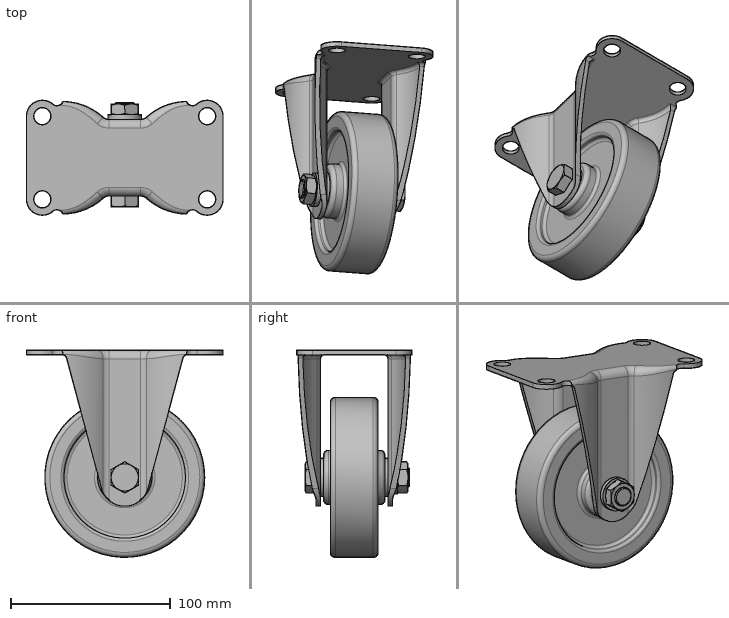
import cadquery as cq
import math


wheel_radius = 50.0
wheel_width = 30.0
tread_fillet = 3.1
rim_inner_radius = 39.9
rim_fillet = 2.0
recess_depth = 5.2
hub_radius = 17.0
hub_length = 38.4
hub_fillet = 3.0
hub_base_fillet = 2.0
boss_radius = 12.0

sheet = 3.0
total_height = 129.6
plate_length = 123.0
plate_width = 72.0
corner_radius = 10.0
mount_hole_diameter = 10.5
notch_radius = 4.0
notch_angle = math.radians(49.5)
leg_gap = 42.0
leg_flat_half = 10.0
leg_end_radius = 15.0
leg_drop = 18.0
leg_top_half = 36.3
flare_crest = 35.3
flare_center_x = 39.3
flare_root_radius = 5.3
bend_radius = 5.5
bend_end_radius = 2.6
bend_inner_radius = 2.5
leg_corner_fillet = 2.6

bolt_radius = 6.0
bolt_end_chamfer = 0.6
hex_flats = 17.0
head_height = 6.7
nut_height = 6.6
washer_radius = 10.5
washer_thickness = 3.0
bolt_end_length = 1.0
hex_chamfer_angle = math.radians(30)
hex_half_sector = 30

plate_top = total_height - wheel_radius
plate_bottom = plate_top - sheet
hole_x = plate_length / 2 - corner_radius
hole_y = plate_width / 2 - corner_radius
leg_outer_y = leg_gap / 2 + sheet
notch_x = hole_x - (corner_radius + notch_radius) * math.cos(notch_angle)
notch_y = hole_y + (corner_radius + notch_radius) * math.sin(notch_angle)
pad_edge_y = flare_crest - bend_end_radius
pad_edge_x = notch_x - math.sqrt(notch_radius**2 - (notch_y - pad_edge_y) ** 2)


def cylinder_y(radius, y_start, y_end):
    """Cylinder on the wheel axis between two Y positions."""
    return cq.Workplane("XZ", origin=(0, y_start, 0)).circle(radius).extrude(y_start - y_end)


def half_channel(inset, end_x, top):
    """Sharp-edged block from Y = 0 to one leg surface, which is moved inward by inset."""
    flat_y = leg_outer_y - inset
    crest_y = flare_crest - inset
    root_radius = flare_root_radius + inset
    run = flare_center_x - leg_flat_half
    rise = crest_y - flat_y
    radius_sum = (run**2 + rise**2) / (2 * rise)
    wing_radius = radius_sum - root_radius
    angle = math.asin(run / radius_sum)

    def root_point(turn, side):
        x = leg_flat_half + root_radius * math.sin(turn)
        return side * x, flat_y + root_radius * (1 - math.cos(turn))

    def wing_point(turn, side):
        x = flare_center_x - wing_radius * math.sin(turn)
        return side * x, crest_y - wing_radius * (1 - math.cos(turn))

    return (
        cq.Workplane("XY", origin=(0, 0, -wheel_radius))
        .moveTo(-end_x, 0)
        .lineTo(-end_x, crest_y)
        .lineTo(-flare_center_x, crest_y)
        .threePointArc(wing_point(angle / 2, -1), root_point(angle, -1))
        .threePointArc(root_point(angle / 2, -1), root_point(0, -1))
        .lineTo(*root_point(0, 1))
        .threePointArc(root_point(angle / 2, 1), root_point(angle, 1))
        .threePointArc(wing_point(angle / 2, 1), wing_point(0, 1))
        .lineTo(end_x, crest_y)
        .lineTo(end_x, 0)
        .close()
        .extrude(top + wheel_radius)
    )


def flat_top_edge(block):
    """Top edge of a half channel above the flat strip of the leg."""
    above_flat = cq.selectors.NearestToPointSelector((0, leg_outer_y, plate_top))
    return block.faces(">Z").edges("|X").edges(above_flat)


def outer_block():
    """Outside of half the channel, its bend radius shrinking toward the wing ends."""
    block = half_channel(0, pad_edge_x, plate_top)
    fillet = cq.occ_impl.shapes.BRepFilletAPI_MakeFillet(block.val().wrapped)
    contour = 1
    fillet.Add(flat_top_edge(block).val().wrapped)
    for vertex in block.faces(">Z").vertices("not(<Y)").vals():
        at_wing_end = abs(vertex.X) > (flare_center_x + leg_flat_half) / 2
        radius = bend_end_radius if at_wing_end else bend_radius
        fillet.SetRadius(radius, contour, vertex.wrapped)
    return cq.Workplane(cq.Shape.cast(fillet.Shape()))


def inner_block():
    """Hollow of half the channel, with a constant bend radius."""
    block = half_channel(sheet, plate_length / 2, plate_bottom)
    return block.newObject([flat_top_edge(block).val()]).fillet(bend_inner_radius)


def leg_envelope():
    """Tapered silhouette of the legs with a round lower end."""
    end_z = leg_end_radius - leg_drop
    corner_z = plate_top - bend_radius
    corner_height = corner_z - end_z
    corner_distance = math.hypot(leg_top_half, corner_height)
    taper = math.atan2(leg_top_half, corner_height) - math.asin(leg_end_radius / corner_distance)
    tangent_x = leg_end_radius * math.cos(taper)
    tangent_z = end_z - leg_end_radius * math.sin(taper)
    edge_x = leg_top_half + (plate_bottom - corner_z) * math.tan(taper)
    envelope = (
        cq.Workplane("XZ")
        .moveTo(-plate_length / 2, plate_top)
        .lineTo(-plate_length / 2, plate_bottom)
        .lineTo(-edge_x, plate_bottom)
        .lineTo(-tangent_x, tangent_z)
        .threePointArc((0, -leg_drop), (tangent_x, tangent_z))
        .lineTo(edge_x, plate_bottom)
        .lineTo(plate_length / 2, plate_bottom)
        .lineTo(plate_length / 2, plate_top)
        .close()
        .extrude(plate_width / 2, both=True)
    )
    for side in (-1, 1):
        corner = cq.selectors.NearestToPointSelector((side * edge_x, 0, plate_bottom))
        envelope = envelope.edges("|Y").edges(corner).fillet(leg_corner_fillet)
    return envelope


def end_pad():
    """Plate end at +X with two round corners and the pads for the mounting holes."""
    lobe_x = hole_x - corner_radius * math.cos(notch_angle)
    lobe_y = hole_y + corner_radius * math.sin(notch_angle)
    lobe_top = hole_y + corner_radius
    end_x = plate_length / 2
    bulge = corner_radius * math.sqrt(0.5)
    return (
        cq.Workplane("XY", origin=(0, 0, plate_bottom))
        .moveTo(pad_edge_x, -pad_edge_y)
        .radiusArc((lobe_x, -lobe_y), notch_radius)
        .threePointArc((hole_x, -lobe_top), (hole_x + bulge, -hole_y - bulge))
        .radiusArc((end_x, -hole_y), -corner_radius)
        .lineTo(end_x, hole_y)
        .radiusArc((hole_x + bulge, hole_y + bulge), -corner_radius)
        .threePointArc((hole_x, lobe_top), (lobe_x, lobe_y))
        .radiusArc((pad_edge_x, pad_edge_y), notch_radius)
        .close()
        .extrude(sheet)
    )


def corner_cylinders(x, y, radius):
    """Vertical tools through the plate and the bend, one per corner."""
    centers = [(side_x * x, side_y * y) for side_x in (-1, 1) for side_y in (-1, 1)]
    base_z = plate_top - bend_radius
    return cq.Workplane("XY", origin=(0, 0, base_z)).pushPoints(centers).circle(radius).extrude(bend_radius)


def make_bracket():
    """One pressed sheet: mounting plate, two bends and two flared legs."""
    pad = end_pad()
    body = outer_block()
    body = body.union(body.mirror("XZ")).union(pad).union(pad.mirror("YZ"))
    hollow = inner_block()
    body = body.cut(hollow).cut(hollow.mirror("XZ")).intersect(leg_envelope())
    body = body.cut(corner_cylinders(notch_x, notch_y, notch_radius))
    body = body.cut(corner_cylinders(hole_x, hole_y, mount_hole_diameter / 2))
    body = body.cut(cylinder_y(washer_radius, leg_outer_y, leg_outer_y + washer_thickness))
    return body.cut(cylinder_y(bolt_radius, -leg_outer_y, leg_outer_y))


def make_wheel():
    """Revolved wheel: rounded tread, recessed disc and a hub with thrust bosses."""
    face_y = wheel_width / 2
    disc_y = face_y - recess_depth
    hub_y = hub_length / 2
    lip_radius = rim_inner_radius - rim_fillet
    disc_radius = lip_radius - rim_fillet
    tread_edge_y = face_y - tread_fillet
    boss_y = leg_gap / 2
    side = (
        cq.Workplane("XY")
        .moveTo(wheel_radius, tread_edge_y)
        .radiusArc((wheel_radius - tread_fillet, face_y), -tread_fillet)
        .lineTo(rim_inner_radius, face_y)
        .radiusArc((lip_radius, face_y - rim_fillet), -rim_fillet)
        .lineTo(lip_radius, disc_y + rim_fillet)
        .radiusArc((disc_radius, disc_y), rim_fillet)
        .lineTo(hub_radius + hub_base_fillet, disc_y)
        .radiusArc((hub_radius, disc_y + hub_base_fillet), hub_base_fillet)
        .lineTo(hub_radius, hub_y - hub_fillet)
        .radiusArc((hub_radius - hub_fillet, hub_y), -hub_fillet)
        .lineTo(boss_radius, hub_y)
        .lineTo(boss_radius, boss_y)
        .lineTo(bolt_radius, boss_y)
        .wire()
        .val()
    )
    tread = cq.Edge.makeLine((wheel_radius, -tread_edge_y, 0), (wheel_radius, tread_edge_y, 0))
    bore = cq.Edge.makeLine((bolt_radius, boss_y, 0), (bolt_radius, -boss_y, 0))
    profile = cq.Wire.combine([tread, side, bore, side.mirror("XZ")])[0]
    wheel = cq.Solid.revolve(profile, [], 360, cq.Vector(0, 0, 0), cq.Vector(0, 1, 0))
    return cq.Workplane(wheel)


def hex_block(y_start, y_end):
    """Hexagon with corners up and down, its far end chamfered to the flats."""
    height = abs(y_end - y_start)
    circumscribed = hex_flats / math.cos(math.radians(hex_half_sector))
    cone_base = hex_flats / 2 + height / math.tan(hex_chamfer_angle)
    block = (
        cq.Workplane("XY")
        .polygon(6, circumscribed)
        .extrude(height)
        .rotate((0, 0, 0), (0, 0, 1), hex_half_sector)
    )
    cone = cq.Solid.makeCone(cone_base, hex_flats / 2, height)
    turn = -90 if y_end > y_start else 90
    block = block.intersect(cq.Workplane(cone)).rotate((0, 0, 0), (1, 0, 0), turn)
    return block.translate((0, y_start, 0))


def make_bolt():
    """Bolt with its head at -Y and the washer and nut at +Y."""
    washer_end = leg_outer_y + washer_thickness
    nut_end = washer_end + nut_height
    head_end = -leg_outer_y - head_height
    nut = hex_block(washer_end, nut_end).intersect(hex_block(nut_end, washer_end))
    shank = cylinder_y(bolt_radius, -leg_outer_y, nut_end + bolt_end_length)
    shank = shank.faces(">Y").chamfer(bolt_end_chamfer)
    return (
        shank.union(hex_block(-leg_outer_y, head_end))
        .union(cylinder_y(washer_radius, leg_outer_y, washer_end))
        .union(nut)
    )


bracket = make_bracket()
wheel = make_wheel()
bolt = make_bolt()

result = cq.Compound.makeCompound([bracket.val(), wheel.val(), bolt.val()])